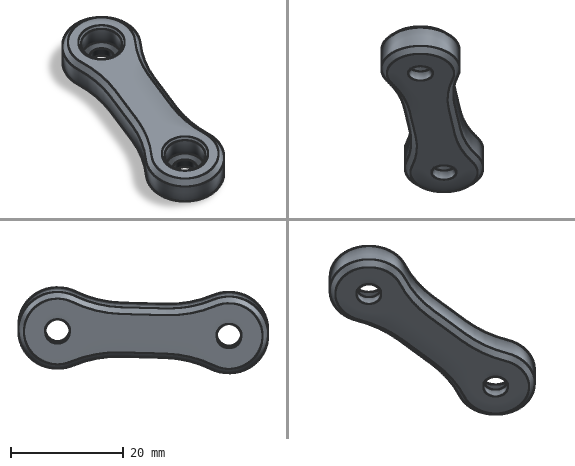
import cadquery as cq
import math

length_x = 38.82
length_y = 31.7
thickness = 6.0

end_radius = 7.0
waist_width = 9.0
neck_radius = 20.0
edge_chamfer = 1.0

hole_diameter = 4.4
bore_diameter = 7.3
bore_depth = 4.0
bore_chamfer = 0.45

eye_x = length_x / 2 - end_radius
eye_y = length_y / 2 - end_radius
half_span = math.hypot(eye_x, eye_y)
link_angle = -math.degrees(math.atan2(eye_y, eye_x))

half_waist = waist_width / 2
neck_center_y = half_waist + neck_radius
center_distance = end_radius + neck_radius
neck_offset = math.sqrt(center_distance**2 - neck_center_y**2)
waist_x = half_span - neck_offset
touch_x = half_span - neck_offset * end_radius / center_distance
touch_y = neck_center_y * end_radius / center_distance

neck_half_angle = math.atan2(neck_offset, neck_center_y) / 2
neck_mid_x = waist_x + neck_radius * math.sin(neck_half_angle)
neck_mid_y = neck_center_y - neck_radius * math.cos(neck_half_angle)


def make_body():
    """Link plate along X, with chamfered top and bottom edges."""
    outline = (
        cq.Workplane("XY")
        .moveTo(-waist_x, half_waist)
        .lineTo(waist_x, half_waist)
        .threePointArc((neck_mid_x, neck_mid_y), (touch_x, touch_y))
        .threePointArc((half_span + end_radius, 0), (touch_x, -touch_y))
        .threePointArc((neck_mid_x, -neck_mid_y), (waist_x, -half_waist))
        .lineTo(-waist_x, -half_waist)
        .threePointArc((-neck_mid_x, -neck_mid_y), (-touch_x, -touch_y))
        .threePointArc((-half_span - end_radius, 0), (-touch_x, touch_y))
        .threePointArc((-neck_mid_x, neck_mid_y), (-waist_x, half_waist))
        .close()
    )
    return outline.extrude(thickness).faces("<Z or >Z").chamfer(edge_chamfer)


def make_hole_cutter():
    """Half profile of a counterbored hole, revolved about Z."""
    hole_radius = hole_diameter / 2
    bore_radius = bore_diameter / 2
    profile = [
        (0, 0),
        (hole_radius, 0),
        (hole_radius, thickness - bore_depth),
        (bore_radius, thickness - bore_depth),
        (bore_radius, thickness - bore_chamfer),
        (bore_radius + bore_chamfer, thickness),
        (0, thickness),
    ]
    return cq.Workplane("XZ").polyline(profile).close().revolve(360, (0, 0), (0, 1))


body = make_body()
for center_x in (-half_span, half_span):
    body = body.cut(make_hole_cutter().translate((center_x, 0, 0)))

result = body.rotate((0, 0, 0), (0, 0, 1), link_angle)